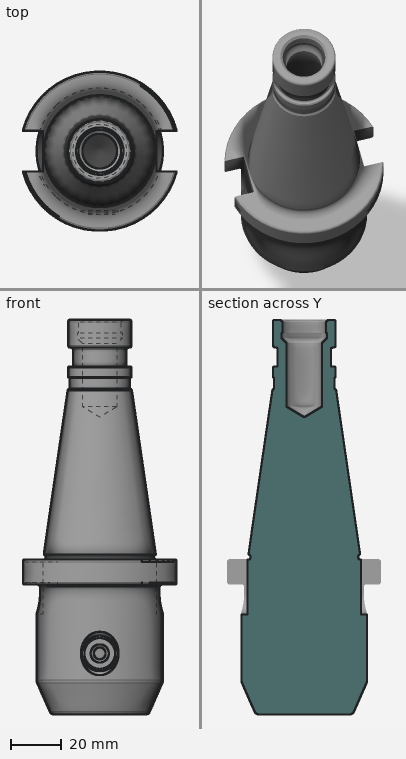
import cadquery as cq
import math

total_height = 156.4

head_radius = 12.5
head_bottom = 145.3
head_edge_round = 1.0
neck_radius = 10.6
neck_fillet = 0.8
collar_top = 138.0
collar_bottom = 133.3
collar_chamfer = 0.5
pilot_radius = head_radius - collar_chamfer
pilot_bottom = 129.2

taper_rate = 7 / 24
taper_large_radius = 22.2
taper_bottom = 63.5
taper_top = 128.4
taper_small_radius = taper_large_radius - (taper_top - taper_bottom) * taper_rate / 2

flange_radius = 31.51
flange_top = 61.5
flange_thickness = 10.0
flange_bottom = flange_top - flange_thickness
flange_edge_round = 1.0
relief_radius = 21.5
relief_foot_radius = 21.9

body_radius = 25.0
body_fillet = 0.8
body_bottom = 13.1
body_edge_round = 2.8
nose_radius = 19.2
nose_edge_round = 2.0

slot_half_width = 8.05
slot_floor = 22.5
slot_round_center = 47.9

bore_radius = 8.5
bore_chamfer = 1.0
bore_depth = 5.3
bore_groove_radius = 8.9
bore_groove_width = 2.0
thread_radius = 6.9
thread_depth = 34.4
tip_half_angle = math.radians(59.0)

screw_height = 24.2
screw_radius = 7.0
screw_countersink_radius = 8.6
screw_length = 7.8
screw_edge_chamfer = 1.0
socket_rim_radius = 3.6
socket_floor_radius = 2.3
socket_depth = 1.0


def make_turned_body():
    """Revolve the outer profile of the holder about Z."""
    relief_middle = (flange_top + taper_bottom) / 2
    profile = (
        cq.Workplane("XZ")
        .moveTo(0, 0)
        .lineTo(nose_radius, 0)
        .lineTo(body_radius, body_bottom)
        .lineTo(body_radius, flange_bottom - body_fillet)
        .radiusArc((body_radius + body_fillet, flange_bottom), body_fillet)
        .lineTo(flange_radius - flange_edge_round, flange_bottom)
        .radiusArc((flange_radius, flange_bottom + flange_edge_round), -flange_edge_round)
        .lineTo(flange_radius, flange_top - flange_edge_round)
        .radiusArc((flange_radius - flange_edge_round, flange_top), -flange_edge_round)
        .lineTo(relief_foot_radius, flange_top)
        .threePointArc((relief_radius, relief_middle), (taper_large_radius, taper_bottom))
        .lineTo(taper_small_radius, taper_top)
        .lineTo(pilot_radius, pilot_bottom)
        .lineTo(pilot_radius, collar_bottom)
        .lineTo(head_radius, collar_bottom + collar_chamfer)
        .lineTo(head_radius, collar_top - collar_chamfer)
        .lineTo(head_radius - collar_chamfer, collar_top)
        .lineTo(neck_radius, collar_top)
        .lineTo(neck_radius, head_bottom - neck_fillet)
        .radiusArc((neck_radius + neck_fillet, head_bottom), neck_fillet)
        .lineTo(head_radius - head_edge_round, head_bottom)
        .radiusArc((head_radius, head_bottom + head_edge_round), -head_edge_round)
        .lineTo(head_radius, total_height - head_edge_round)
        .radiusArc((head_radius - head_edge_round, total_height), -head_edge_round)
        .lineTo(0, total_height)
        .close()
    )
    return profile.revolve(360, (0, 0, 0), (0, 1, 0))


def round_nose(body):
    """Round both edges of the conical nose."""
    body = body.faces("<Z").edges().fillet(nose_edge_round)
    shoulder = cq.selectors.NearestToPointSelector((0, 0, body_bottom))
    return body.edges("%CIRCLE").edges(shoulder).fillet(body_edge_round)


def make_drive_slot(side):
    """Round-ended slot cutter on the +X (side=1) or -X (side=-1) flank."""
    depth = flange_radius - slot_floor
    round_end = (
        cq.Workplane("YZ", origin=(side * slot_floor, 0, slot_round_center))
        .circle(slot_half_width)
        .extrude(side * depth)
    )
    height = taper_bottom - slot_round_center
    straight = cq.Workplane("XY").box(depth, 2 * slot_half_width, height).translate(
        (side * (slot_floor + depth / 2), 0, slot_round_center + height / 2)
    )
    return round_end.union(straight)


def make_drawbar_bore():
    """Counterbored blind hole with a chamfered mouth, undercut and drill-point end."""
    groove_top = total_height - bore_depth
    groove_bottom = groove_top - bore_groove_width
    floor = total_height - thread_depth
    tip = floor - thread_radius / math.tan(tip_half_angle)
    return (
        cq.Workplane("XZ")
        .moveTo(0, total_height)
        .lineTo(bore_radius + bore_chamfer, total_height)
        .lineTo(bore_radius, total_height - bore_chamfer)
        .lineTo(bore_radius, groove_top)
        .lineTo(bore_groove_radius, groove_top)
        .lineTo(bore_groove_radius, groove_bottom)
        .lineTo(thread_radius, groove_bottom - (bore_groove_radius - thread_radius))
        .lineTo(thread_radius, floor)
        .lineTo(0, tip)
        .close()
        .revolve(360, (0, 0, 0), (0, 1, 0))
    )


def make_recess(mouth_radius, floor_radius, depth):
    """Conical recess, open towards -Y, level with the outermost line of the body."""
    return cq.Workplane("XY").add(
        cq.Solid.makeCone(
            mouth_radius,
            floor_radius,
            depth,
            pnt=(0, -body_radius, screw_height),
            dir=(0, 1, 0),
        )
    )


def make_screw():
    """Flat-ended clamping screw with a chamfered edge and a tapered socket."""
    screw = (
        cq.Workplane("XZ", origin=(0, -body_radius, screw_height))
        .circle(screw_radius)
        .extrude(-screw_length)
        .faces("<Y")
        .chamfer(screw_edge_chamfer)
    )
    return screw.cut(make_recess(socket_rim_radius, socket_floor_radius, socket_depth))


result = round_nose(make_turned_body())
for side in (1, -1):
    result = result.cut(make_drive_slot(side))
result = result.cut(make_drawbar_bore())
countersink_depth = screw_countersink_radius - screw_radius
result = result.cut(make_recess(screw_countersink_radius, screw_radius, countersink_depth))
result = result.union(make_screw())